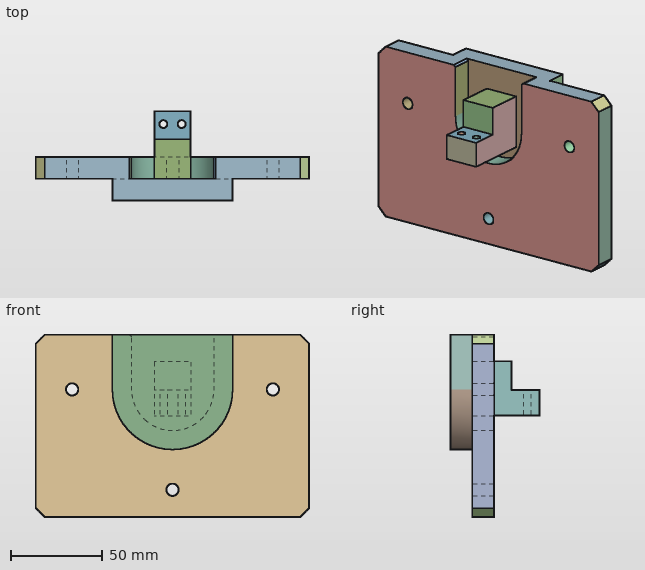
import cadquery as cq

plate_width = 150.0
plate_height = 100.0
plate_thickness = 12.0
corner_chamfer = 5.0
top_z = plate_height / 2

centre_z = top_z - 30.0
pad_radius = 33.0
pad_thickness = 12.0
slot_radius = 22.5
slot_mouth_run = 1.2
slot_mouth_drop = 1.0
bolt_circle_radius = 55.0
bolt_hole_diameter = 6.6

total_depth = 49.0
bracket_width = 20.0
bracket_reach = total_depth - pad_thickness
upright_reach = 21.6
upright_top_z = top_z - 14.5
arm_top_z = top_z - 30.3
arm_bottom_z = top_z - 44.4
pin_hole_diameter = 4.2
pin_hole_spacing = 10.0
pin_hole_edge_distance = 7.0
pin_hole_y = bracket_reach - pin_hole_edge_distance


def u_outline(radius):
    """Closed U in the XZ plane, open end flush with the plate top."""
    return (
        cq.Workplane("XZ")
        .moveTo(-radius, top_z)
        .lineTo(-radius, centre_z)
        .threePointArc((0, centre_z - radius), (radius, centre_z))
        .lineTo(radius, top_z)
        .close()
    )


def make_plate():
    plate = (
        cq.Workplane("XZ")
        .rect(plate_width, plate_height)
        .extrude(-plate_thickness)
        .edges("|Y")
        .chamfer(corner_chamfer)
    )
    bolt_points = [
        (-bolt_circle_radius, centre_z),
        (bolt_circle_radius, centre_z),
        (0, centre_z - bolt_circle_radius),
    ]
    bolt_holes = (
        cq.Workplane("XZ")
        .pushPoints(bolt_points)
        .circle(bolt_hole_diameter / 2)
        .extrude(-plate_thickness)
    )
    mouth_half_width = slot_radius + slot_mouth_run
    slot_mouth = (
        cq.Workplane("XZ")
        .polyline([
            (-mouth_half_width, top_z),
            (-slot_radius, top_z - slot_mouth_drop),
            (slot_radius, top_z - slot_mouth_drop),
            (mouth_half_width, top_z),
        ])
        .close()
        .extrude(-plate_thickness)
    )
    slot = u_outline(slot_radius).extrude(-plate_thickness)
    return plate.cut(bolt_holes).cut(slot).cut(slot_mouth)


def make_bracket():
    profile = [
        (0, arm_bottom_z),
        (bracket_reach, arm_bottom_z),
        (bracket_reach, arm_top_z),
        (upright_reach, arm_top_z),
        (upright_reach, upright_top_z),
        (0, upright_top_z),
    ]
    bracket = (
        cq.Workplane("YZ")
        .polyline(profile)
        .close()
        .extrude(bracket_width / 2, both=True)
    )
    pin_holes = (
        cq.Workplane("XY", origin=(0, pin_hole_y, arm_bottom_z))
        .rarray(pin_hole_spacing, 1.5, 2, 1)
        .circle(pin_hole_diameter / 2)
        .extrude(arm_top_z - arm_bottom_z)
    )
    return bracket.cut(pin_holes)


pad = u_outline(pad_radius).extrude(pad_thickness)
result = make_plate().union(pad).union(make_bracket())